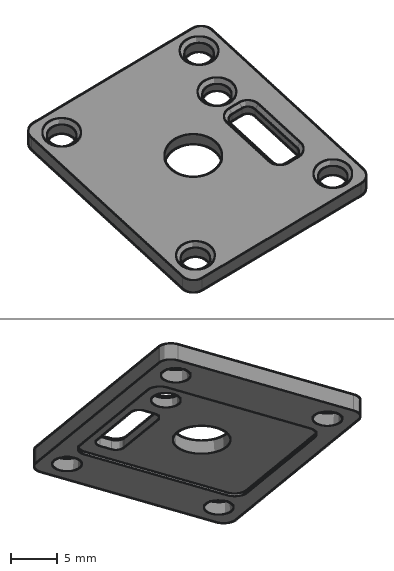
import cadquery as cq

length = 29
width = 25.0
thickness = 2.0
corner_radius = 1.5

screw_diameter = 3.2
edge_chamfer = 0.5
screw_pitch_x = 23.0
screw_pitch_y = 19.0
extra_hole_x = -5.63
extra_hole_y = 7.25

bore_diameter = 6.2
bore_y = -0.55

window_length = 9.2
window_width = 3.35
window_corner_radius = 1.0
window_x = 2.18
window_y = 7.45

recess_length = 17.4
recess_width = 20.88
recess_depth = 0.35
recess_corner_radius = corner_radius


def rounded_block(block_length, block_width, radius, height=thickness):
    """Block with rounded vertical edges, standing on Z = 0."""
    block = cq.Workplane("XY").box(block_length, block_width, height, centered=(True, True, False))
    return block.edges("|Z").fillet(radius)


def screw_hole_cutter(x, y):
    radius = screw_diameter / 2
    cylinder = cq.Workplane("XY").circle(radius).extrude(thickness)
    cone = cq.Solid.makeCone(
        radius, radius + edge_chamfer, edge_chamfer, pnt=cq.Vector(0, 0, thickness - edge_chamfer)
    )
    return cylinder.union(cq.Workplane(cone)).translate((x, y, 0))


def window_cutter():
    opening = rounded_block(window_length, window_width, window_corner_radius)
    rim = rounded_block(
        window_length + 2 * edge_chamfer,
        window_width + 2 * edge_chamfer,
        window_corner_radius + edge_chamfer,
    ).faces("<Z").chamfer(edge_chamfer)
    rim = rim.translate((0, 0, thickness - edge_chamfer))
    return opening.union(rim).translate((window_x, window_y, 0))


screw_positions = [
    (side_x * screw_pitch_x / 2, side_y * screw_pitch_y / 2)
    for side_x in (-1, 1)
    for side_y in (-1, 1)
]

result = rounded_block(length, width, corner_radius)
for hole_x, hole_y in screw_positions + [(extra_hole_x, extra_hole_y)]:
    result = result.cut(screw_hole_cutter(hole_x, hole_y))
result = result.cut(window_cutter())
bore = cq.Workplane("XY").center(0, bore_y).circle(bore_diameter / 2).extrude(thickness)
result = result.cut(bore)
result = result.cut(rounded_block(recess_length, recess_width, recess_corner_radius, recess_depth))